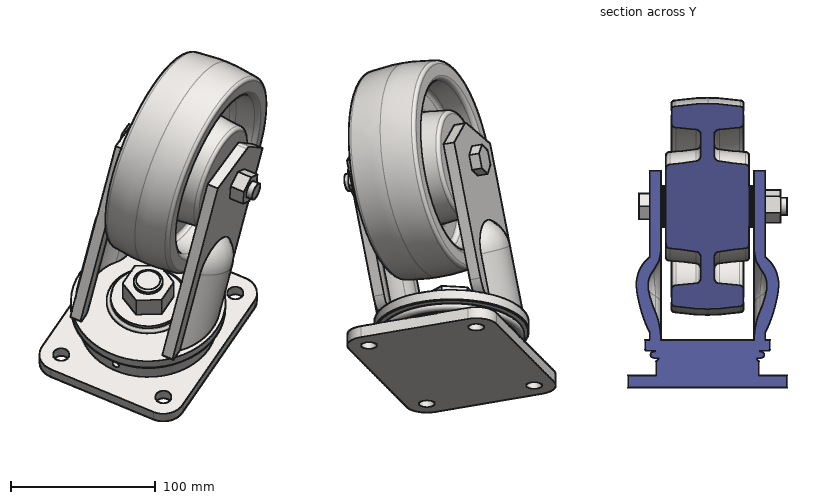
import cadquery as cq
import math


trim_size = 400.0
pick_margin = 0.2

plate_width = 110.0
plate_length = 135.0
plate_thickness = 8.5
plate_corner_radius = 15.0
plate_hole_diameter = 11.0
plate_hole_inset = 15.0

neck_radius = 95.0 / 2
neck_shoulder_z = 18.0
neck_top_radius = 46.0
seal_bottom_z = 20.2
seal_top_z = 25.0
seal_radius = 50.5
seal_round = (seal_top_z - seal_bottom_z) / 2
flange_radius = 53.5
flange_bottom_z = 25.5
flange_top_z = 33.0
flange_chamfer = 0.5
collar_radius = 28.8
collar_round = 2.0
washer_radius = 51.5 / 2
washer_top_z = 37.5
grease_hole_diameter = 5.0
grease_hole_z = 15.2
grease_hole_depth = 4.0

kingpin_diameter = 20.0
kingpin_end_diameter = 16.5
kingpin_top_z = 56.0
kingpin_chamfer_height = 1.0
kingpin_nut_flats = 30.5
kingpin_nut_height = 15.5
kingpin_nut_turn = 30.0

leg_lean = 30.0
leg_width = 70.0
leg_inner_x = 32.0
leg_thickness = 8.0
leg_outer_x = leg_inner_x + leg_thickness
leg_rear_corner_height = 124.5
leg_peak_offset = 5.5
leg_peak_height = 134.8
leg_front_corner_height = 114.8
leg_peak_round = 5.5
leg_toe_height = -17.8
leg_toe_y = -38.0
leg_heel_height = 29.2
leg_heel_y = 37.5
leg_heel_round = 22.0

bulge_radius = 33.8
bulge_outer_x = 50.5
bulge_wall = 8.0
bulge_height = 44.8
bulge_cap_radius = 25.0
bulge_start = -60.0
bulge_mouth_round = 16.0

axle_y = 55.0
axle_z = 125.0
axle_diameter = 12.2
axle_end_x = plate_width / 2
axle_head_flats = 18.0
axle_head_height = 7.5
axle_nut_flats = 20.0
axle_nut_height = 10.5
axle_nut_turn = 23.0

wheel_radius = 75.0
tread_edge_x = 22.5
tread_edge_radius = 73.2
tread_round = 2.5
rim_x = 25.0
rim_outer_radius = 70.5
rim_inner_radius = 62.5
rim_bore_radius = 59.2
rim_round = 3.2
web_x = 4.8
web_round = 3.2
web_outer_radius = 54.8
web_outer_bore_radius = 58.0
web_inner_radius = 42.5
hub_root_radius = 39.5
hub_tip_radius = 37.5
hub_face_radius = 35.0
hub_round = 2.5
hub_x = 28.8
bearing_radius = 28.0 / 2
bearing_lip_radius = 28.8 / 2
bearing_lip_x = 29.8
bearing_x = 31.0


def hexagon_prism(plane, flats, height, turn=0.0):
    """Hexagonal prism on a plane, with a corner on the plane's local X axis before turning."""
    corner_diameter = flats / math.cos(math.pi / 6)
    return cq.Workplane(plane).transformed(rotate=(0, 0, turn)).polygon(6, corner_diameter).extrude(height)


def axle_plane(x):
    """Plane across the axle, with local X along +Y and its normal along +X."""
    return cq.Plane(origin=(x, axle_y, axle_z), xDir=(0, 1, 0), normal=(1, 0, 0))


def make_mounting_plate():
    """Plate with rounded corners and a hole near each corner."""
    hole_span_x = plate_width - 2 * plate_hole_inset
    hole_span_y = plate_length - 2 * plate_hole_inset
    return (
        cq.Workplane("XY")
        .rect(plate_width, plate_length)
        .extrude(plate_thickness)
        .edges("|Z")
        .fillet(plate_corner_radius)
        .faces(">Z")
        .workplane()
        .rect(hole_span_x, hole_span_y, forConstruction=True)
        .vertices()
        .hole(plate_hole_diameter)
    )


def make_swivel_head():
    """Neck, seal ring, flange, collar and washer, turned about the swivel axis."""
    collar_top_z = flange_top_z + collar_round
    head = (
        cq.Workplane("XZ")
        .moveTo(0, 0)
        .lineTo(neck_radius, 0)
        .lineTo(neck_radius, neck_shoulder_z)
        .lineTo(neck_top_radius, seal_bottom_z)
        .lineTo(seal_radius - seal_round, seal_bottom_z)
        .threePointArc(
            (seal_radius, seal_bottom_z + seal_round),
            (seal_radius - seal_round, seal_top_z),
        )
        .lineTo(seal_radius - seal_round, flange_bottom_z)
        .lineTo(flange_radius - flange_chamfer, flange_bottom_z)
        .lineTo(flange_radius, flange_bottom_z + flange_chamfer)
        .lineTo(flange_radius, flange_top_z)
        .lineTo(collar_radius, flange_top_z)
        .radiusArc((collar_radius - collar_round, collar_top_z), -collar_round)
        .lineTo(washer_radius, collar_top_z)
        .lineTo(washer_radius, washer_top_z)
        .lineTo(0, washer_top_z)
        .close()
        .revolve(360, (0, 0, 0), (0, 1, 0))
    )
    grease_hole = (
        cq.Workplane("XZ", origin=(0, -neck_radius + grease_hole_depth, grease_hole_z))
        .circle(grease_hole_diameter / 2)
        .extrude(2 * grease_hole_depth)
    )
    return head.cut(grease_hole)


def make_kingpin():
    """Nut and the chamfered bolt end that stands out of it."""
    nut_seat = cq.Plane.XY(origin=(0, 0, washer_top_z))
    nut = hexagon_prism(nut_seat, kingpin_nut_flats, kingpin_nut_height, kingpin_nut_turn)
    chamfer_width = (kingpin_diameter - kingpin_end_diameter) / 2
    bolt = (
        cq.Workplane("XY", origin=(0, 0, washer_top_z))
        .circle(kingpin_diameter / 2)
        .extrude(kingpin_top_z - washer_top_z)
        .faces(">Z")
        .chamfer(kingpin_chamfer_height, chamfer_width)
    )
    return nut.union(bolt)


def upright(y, z=0.0):
    """Turn a point of the leaning leg, measured from the flange centre, into the upright layout."""
    lean = math.radians(leg_lean)
    return (y * math.cos(lean) - z * math.sin(lean), y * math.sin(lean) + z * math.cos(lean))


def make_leg_plate():
    """Flat leg with its foot cut along the flange top and its peak rounded."""
    leg_middle_x = leg_inner_x + leg_thickness / 2
    half_width = leg_width / 2
    return (
        cq.Workplane("YZ", origin=(leg_inner_x, 0, 0))
        .moveTo(*upright(leg_toe_y))
        .lineTo(-half_width, leg_toe_height)
        .lineTo(-half_width, leg_front_corner_height)
        .lineTo(leg_peak_offset, leg_peak_height)
        .lineTo(half_width, leg_rear_corner_height)
        .lineTo(half_width, leg_heel_height)
        .radiusArc(upright(leg_heel_y), leg_heel_round)
        .close()
        .extrude(leg_thickness)
        .edges(cq.selectors.NearestToPointSelector((leg_middle_x, leg_peak_offset, leg_peak_height)))
        .fillet(leg_peak_round)
    )


def bulge_half_chord(inset, base_x):
    """Half the width of the inset bulge section where it meets the plane at base_x."""
    radius = bulge_radius - inset
    centre_x = bulge_outer_x - bulge_radius
    return math.sqrt(radius**2 - (base_x - centre_x) ** 2)


def make_bulge(inset, base_x):
    """Part-round column with a domed top, lying outside base_x and inset from the bulge surface."""
    tip_x = bulge_outer_x - inset
    half_chord = bulge_half_chord(inset, base_x)

    def section(z):
        return (
            cq.Workplane("XY", origin=(0, 0, z))
            .moveTo(base_x, -half_chord)
            .threePointArc((tip_x, 0), (base_x, half_chord))
            .close()
        )

    column = section(bulge_start).extrude(bulge_height - bulge_start)
    dome_axis_x = bulge_outer_x - bulge_cap_radius
    dome = section(bulge_height).revolve(360, (dome_axis_x, 0, 0), (dome_axis_x, 1, 0))
    column_top = cq.Workplane("XY", origin=(0, 0, bulge_height))
    above_column = column_top.rect(trim_size, trim_size).extrude(trim_size)
    base = cq.Workplane("YZ", origin=(base_x, 0, 0))
    outside_base = base.rect(trim_size, trim_size).extrude(trim_size)
    return column.union(dome.intersect(above_column).intersect(outside_base))


def make_leg():
    """Leg on the +X side: trimmed at the flange, rounded at the mouth of its hollow, and leaned back."""
    leg = make_leg_plate().union(make_bulge(0, leg_outer_x)).cut(make_bulge(bulge_wall, leg_inner_x))
    below_flange = cq.Workplane("XY").rect(trim_size, trim_size).extrude(-trim_size)
    below_flange = below_flange.rotate((0, 0, 0), (1, 0, 0), leg_lean)
    mouth_reach = bulge_half_chord(bulge_wall, leg_inner_x) + pick_margin
    mouth_region = cq.selectors.BoxSelector(
        (leg_inner_x - pick_margin, -mouth_reach, 0),
        (leg_inner_x + pick_margin, mouth_reach, leg_front_corner_height),
    )
    leg = leg.cut(below_flange).edges(mouth_region).fillet(bulge_mouth_round)
    return leg.rotate((0, 0, 0), (1, 0, 0), -leg_lean).translate((0, 0, flange_top_z))


def make_axle():
    """Axle bolt through both legs: head on the -X side, nut on the +X side."""
    head_x = -leg_outer_x - axle_head_height
    head = hexagon_prism(axle_plane(head_x), axle_head_flats, axle_head_height)
    shank = cq.Workplane(axle_plane(-leg_outer_x)).circle(axle_diameter / 2).extrude(axle_end_x + leg_outer_x)
    nut = hexagon_prism(axle_plane(leg_outer_x), axle_nut_flats, axle_nut_height, axle_nut_turn)
    return head.union(shank).union(nut)


def make_bracket():
    """Everything that carries the wheel, as one welded and bolted body."""
    leg = make_leg()
    return (
        make_mounting_plate()
        .union(make_swivel_head())
        .union(make_kingpin())
        .union(leg)
        .union(leg.mirror("YZ"))
        .union(make_axle())
    )


def make_wheel():
    """Wheel turned from half a section that is mirrored about its middle plane."""
    crown_drop = wheel_radius - tread_edge_radius
    crown_radius = (tread_edge_x**2 + crown_drop**2) / (2 * crown_drop)
    return (
        cq.Workplane("XY")
        .moveTo(0, axle_diameter / 2)
        .lineTo(bearing_x, axle_diameter / 2)
        .lineTo(bearing_x, bearing_lip_radius)
        .lineTo(bearing_lip_x, bearing_lip_radius)
        .lineTo(bearing_lip_x, bearing_radius)
        .lineTo(hub_x, bearing_radius)
        .lineTo(hub_x, hub_face_radius)
        .radiusArc((hub_x - hub_round, hub_tip_radius), -hub_round)
        .lineTo(web_x + web_round, hub_root_radius)
        .radiusArc((web_x, web_inner_radius), web_round)
        .lineTo(web_x, web_outer_radius)
        .radiusArc((web_x + web_round, web_outer_bore_radius), web_round)
        .lineTo(rim_x - rim_round, rim_bore_radius)
        .radiusArc((rim_x, rim_inner_radius), -rim_round)
        .lineTo(rim_x, rim_outer_radius)
        .radiusArc((tread_edge_x, tread_edge_radius), -tread_round)
        .radiusArc((0, wheel_radius), -crown_radius)
        .mirrorY()
        .revolve(360, (0, 0, 0), (1, 0, 0))
        .translate((0, axle_y, axle_z))
    )


bracket = make_bracket()
wheel = make_wheel()

result = cq.Compound.makeCompound([bracket.solids().val(), wheel.solids().val()])